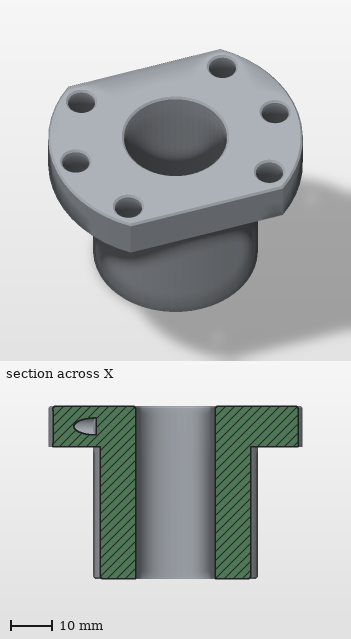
import cadquery as cq
import math

flange_diameter = 61.8
flange_width = 48.0
flange_thickness = 10.0
total_height = 42.0
body_diameter = 40.0
bore_diameter = 25.0
edge_chamfer = 0.5

mount_hole_diameter = 6.6
mount_circle_diameter = 51.0
mount_hole_angles = [45, 90, 135, 225, 270, 315]

oil_hole_diameter = 4.0
oil_hole_angle = (mount_hole_angles[1] + mount_hole_angles[2]) / 2
oil_hole_depth = 10.0

body_height = total_height - flange_thickness


def make_body():
    """Cylinder below the flange, with a chamfered lower rim; Z = 0 is its lower end."""
    body = cq.Workplane("XY").circle(body_diameter / 2).extrude(body_height)
    return body.faces("<Z").chamfer(edge_chamfer)


def make_flange():
    """Round flange with two flats facing -X and +X, chamfered along its top edge."""
    base = cq.Workplane("XY").workplane(offset=body_height)
    disc = base.circle(flange_diameter / 2).extrude(flange_thickness)
    flats = cq.Workplane("XY").rect(flange_width, flange_diameter).extrude(total_height)
    return disc.intersect(flats).faces(">Z").chamfer(edge_chamfer)


def top_chamfered_hole(x, y, diameter):
    """Cutter for a vertical through hole with a chamfer at the top face."""
    radius = diameter / 2
    profile = (
        cq.Workplane("XZ")
        .lineTo(radius, 0)
        .lineTo(radius, total_height - edge_chamfer)
        .lineTo(radius + edge_chamfer, total_height)
        .lineTo(0, total_height)
        .close()
    )
    return profile.revolve(360, (0, 0, 0), (0, 1, 0)).translate((x, y, 0))


def make_oil_hole():
    """Cutter for the blind radial hole, running inward from the flange rim at mid thickness."""
    angle = math.radians(oil_hole_angle)
    rim_radius = flange_diameter / 2
    start = cq.Vector(
        rim_radius * math.cos(angle),
        rim_radius * math.sin(angle),
        total_height - flange_thickness / 2,
    )
    inward = cq.Vector(-math.cos(angle), -math.sin(angle), 0)
    return cq.Solid.makeCylinder(oil_hole_diameter / 2, oil_hole_depth, start, inward)


result = make_body().union(make_flange())
result = result.cut(top_chamfered_hole(0, 0, bore_diameter))

for angle_degrees in mount_hole_angles:
    hole_angle = math.radians(angle_degrees)
    hole_x = mount_circle_diameter / 2 * math.cos(hole_angle)
    hole_y = mount_circle_diameter / 2 * math.sin(hole_angle)
    result = result.cut(top_chamfered_hole(hole_x, hole_y, mount_hole_diameter))

result = result.cut(make_oil_hole())